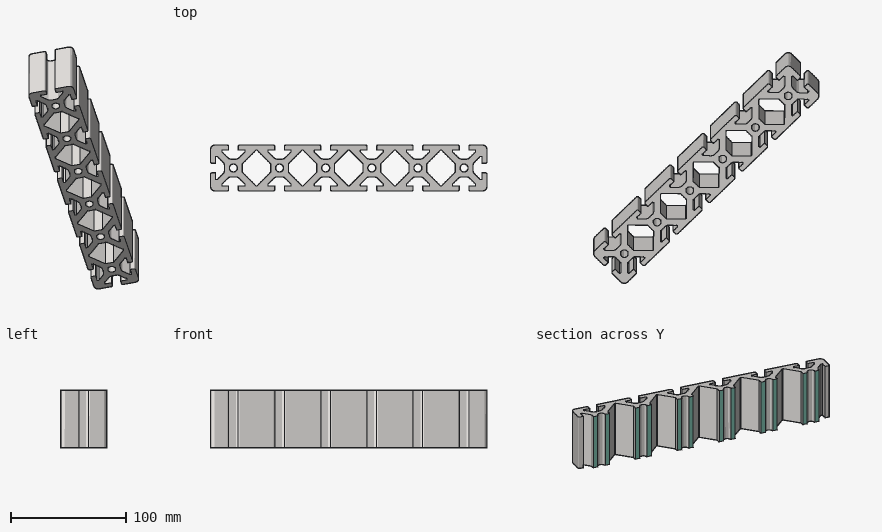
import cadquery as cq
import math

length = 240.0
height = 50.0
cell_count = 6
cell_size = length / cell_count
half_cell = cell_size / 2
corner_radius = 4.0

slot_opening = 8.2
slot_inner_width = 19.7
lip_thickness = 4.5
lip_radius = 1.5
core_width = 15.5
strut_thickness = 5.8
floor_radius = 4.0
bore_diameter = 6.7

half_opening = slot_opening / 2
half_inner = slot_inner_width / 2
half_core = core_width / 2
lip_underside = half_cell - lip_thickness
strut_offset = strut_thickness / math.sqrt(2)
half_floor = half_core - strut_offset
inner_wall_start = half_inner + strut_offset

cell_centres = [(i - (cell_count - 1) / 2) * cell_size for i in range(cell_count)]


def make_body():
    """Solid bar with rounded long corners."""
    bar = cq.Workplane("XY").box(length, cell_size, height, centered=(True, True, False))
    return bar.edges("|Z").fillet(corner_radius)


def make_slot():
    """T-slot of a cell at the origin, open toward +Y, with rounded lips and floor corners."""
    round_start = half_cell - lip_radius
    mouth = half_opening + lip_radius
    sag = lip_radius * (1 - math.sqrt(0.5))
    arc_x = half_opening + sag
    arc_y = half_cell - sag
    slot = (
        cq.Workplane("XY")
        .moveTo(-half_floor, half_core)
        .lineTo(half_floor, half_core)
        .lineTo(half_inner, inner_wall_start)
        .lineTo(half_inner, lip_underside)
        .lineTo(half_opening, lip_underside)
        .lineTo(half_opening, round_start)
        .threePointArc((arc_x, arc_y), (mouth, half_cell))
        .lineTo(-mouth, half_cell)
        .threePointArc((-arc_x, arc_y), (-half_opening, round_start))
        .lineTo(-half_opening, lip_underside)
        .lineTo(-half_inner, lip_underside)
        .lineTo(-half_inner, inner_wall_start)
        .close()
        .extrude(height)
    )
    return slot.edges("|Z").edges("<Y").fillet(floor_radius)


def make_window():
    """Eight-sided opening between two neighbouring cells, centred on their shared border."""
    half_width = half_cell - half_core
    half_tip = half_cell - (lip_underside + strut_offset)
    outline = [
        (half_width, -half_floor),
        (half_width, half_floor),
        (half_tip, lip_underside),
        (-half_tip, lip_underside),
        (-half_width, half_floor),
        (-half_width, -half_floor),
        (-half_tip, -lip_underside),
        (half_tip, -lip_underside),
    ]
    return cq.Workplane("XY").polyline(outline).close().extrude(height)


def make_bores():
    """Round holes along Z, one through each cell centre."""
    centres = [(x, 0) for x in cell_centres]
    return cq.Workplane("XY").pushPoints(centres).circle(bore_diameter / 2).extrude(height)


def place_slot(slot, x, angle):
    """Turn the slot about its cell centre, then move it to the cell at x."""
    return slot.rotate((0, 0, 0), (0, 0, 1), angle).translate((x, 0, 0))


slot = make_slot()
window = make_window()
result = make_body()

for x in cell_centres:
    result = result.cut(place_slot(slot, x, 0))
    result = result.cut(place_slot(slot, x, 180))

result = result.cut(place_slot(slot, cell_centres[0], 90))
result = result.cut(place_slot(slot, cell_centres[-1], -90))

for x in cell_centres[:-1]:
    result = result.cut(window.translate((x + half_cell, 0, 0)))

result = result.cut(make_bores())